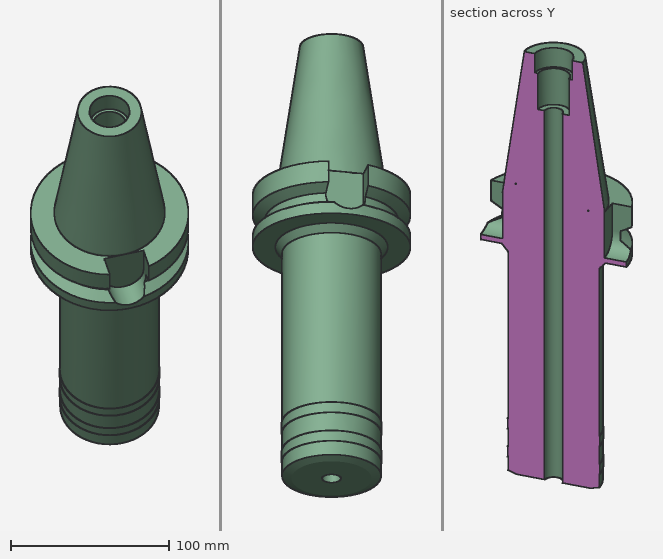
import cadquery as cq

total_length = 301.8
gauge_height = 200.0
contact_gap = 1.5

taper_large_radius = 35.0
taper_slope = 7 / 24 / 2
taper_small_radius = taper_large_radius - (total_length - gauge_height) * taper_slope

flange_diameter = 100.0
flange_radius = flange_diameter / 2
flange_top = gauge_height - contact_gap
upper_rim_bottom = 184.0
groove_top = 180.0
groove_bottom = 173.8
lower_rim_top = 170.0
flange_bottom = 162.0
groove_radius = 42.5

neck_height = 4.8
neck_radius = 35.5
body_radius = 31.5
nose_chamfer_height = 1.8
nose_chamfer_width = 6.0

band_radius = 31.7
band_height = 7.2
band_bottoms = (11.5, 31.5)

slot_width = 25.7
slot_depth = 32.5
slot_floor = 35.0

coolant_radius = 6.0
thread_radius = 10.5
counterbore_radius = 12.7
counterbore_depth = 13.5
thread_depth = 39.2


def revolved_holder():
    profile = [
        (0, 0),
        (body_radius - nose_chamfer_width, 0),
        (body_radius, nose_chamfer_height),
        (body_radius, flange_bottom - neck_height),
        (neck_radius, flange_bottom),
        (flange_radius, flange_bottom),
        (flange_radius, lower_rim_top),
        (groove_radius, groove_bottom),
        (groove_radius, groove_top),
        (flange_radius, upper_rim_bottom),
        (flange_radius, flange_top),
        (taper_large_radius, flange_top),
        (taper_large_radius, gauge_height),
        (taper_small_radius, total_length),
        (0, total_length),
    ]
    return cq.Workplane("XZ").polyline(profile).close().revolve(360, (0, 0), (0, 1))


def nose_band(bottom):
    return cq.Workplane("XY").workplane(offset=bottom).circle(band_radius).extrude(band_height)


def drive_slot(side):
    """Round-bottomed slot, open at the flange top and the outer rim."""
    half_width = slot_width / 2
    arc_center = flange_top - slot_depth + half_width
    return (
        cq.Workplane("YZ")
        .workplane(offset=side * slot_floor)
        .moveTo(-half_width, flange_top)
        .lineTo(-half_width, arc_center)
        .threePointArc((0, flange_top - slot_depth), (half_width, arc_center))
        .lineTo(half_width, flange_top)
        .close()
        .extrude(side * flange_radius)
    )


def bore(radius, depth):
    return cq.Workplane("XY").workplane(offset=total_length).circle(radius).extrude(-depth)


result = revolved_holder()
for band_bottom in band_bottoms:
    result = result.union(nose_band(band_bottom))
for slot_side in (-1, 1):
    result = result.cut(drive_slot(slot_side))
result = result.cut(bore(counterbore_radius, counterbore_depth))
result = result.cut(bore(thread_radius, thread_depth))
result = result.cut(bore(coolant_radius, total_length))